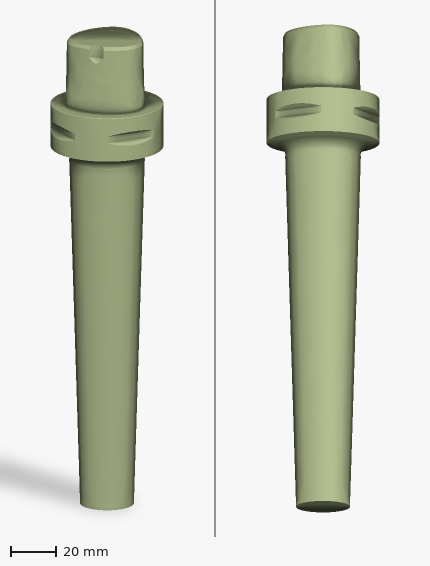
import cadquery as cq
import math

total_length = 215.0
shank_height = 30.0
flange_height = 20.0
underside_height = 1.3
neck_height = 5.0
tip_height = 3.2

flange_radius = 50.0 / 2
flange_edge_chamfer = 0.2
underside_radius = 19.8
body_top_radius = 16.8
tip_radius = 24.0 / 2

shank_mean_radius = 17.6
lobe_height = 1.0
shank_taper = 1 / 40
bevel_height = 1.5
bevel_inset = 0.9

notch_radius = 3.9
notch_axis_y = -17.6
notch_depth = 5.4

groove_count = 4
groove_start_angle = 45
groove_floor_distance = 22.1
groove_floor_height = 3.0
groove_flank_angle = 30

flange_top = total_length - shank_height
flange_bottom = flange_top - flange_height
neck_top = flange_bottom - underside_height
neck_bottom = neck_top - neck_height


def make_turned_body():
    """Flange, concave neck, tapered body and cylindrical tip."""
    neck_width = underside_radius - body_top_radius
    bulge = 1 - math.sqrt(0.5)
    neck_middle = (body_top_radius + bulge * neck_width, neck_top - bulge * neck_height)
    profile = (
        cq.Workplane("XZ")
        .lineTo(tip_radius, 0)
        .lineTo(tip_radius, tip_height)
        .lineTo(body_top_radius, neck_bottom)
        .threePointArc(neck_middle, (underside_radius, neck_top))
        .lineTo(flange_radius, flange_bottom)
        .lineTo(flange_radius, flange_top - flange_edge_chamfer)
        .lineTo(flange_radius - flange_edge_chamfer, flange_top)
        .lineTo(0, flange_top)
        .close()
    )
    return profile.revolve(360, (0, 0, 0), (0, 1, 0))


def lobed_wire(mean_radius, z):
    """Constant-width three-lobed outline with one lobe pointing to +Y."""

    def outline_point(t):
        angle = 2 * math.pi * t + math.pi / 2
        support = mean_radius + lobe_height * math.cos(6 * math.pi * t)
        slope = -3 * lobe_height * math.sin(6 * math.pi * t)
        x = support * math.cos(angle) - slope * math.sin(angle)
        y = support * math.sin(angle) + slope * math.cos(angle)
        return cq.Vector(x, y, z)

    point_count = 36
    points = [outline_point(i / point_count) for i in range(point_count)]
    return cq.Wire.assembleEdges([cq.Edge.makeSpline(points, periodic=True)])


def make_shank():
    """Tapered lobed shank with a bevelled top edge."""
    bevel_start = total_length - bevel_height
    bevel_radius = shank_mean_radius - shank_taper * (bevel_start - flange_top)
    base = lobed_wire(shank_mean_radius, flange_top)
    shoulder = lobed_wire(bevel_radius, bevel_start)
    top = lobed_wire(bevel_radius - bevel_inset, total_length)
    taper = cq.Solid.makeLoft([base, shoulder], True)
    bevel = cq.Solid.makeLoft([shoulder, top], True)
    return cq.Workplane(taper).union(cq.Workplane(bevel))


def make_notch():
    """Vertical drill hole with a 90 degree point, open to the -Y side."""
    edge_z = total_length - notch_depth
    drill = (
        cq.Workplane("XZ")
        .moveTo(0, edge_z - notch_radius)
        .lineTo(notch_radius, edge_z)
        .lineTo(notch_radius, total_length)
        .lineTo(0, total_length)
        .close()
        .revolve(360, (0, 0, 0), (0, 1, 0))
    )
    return drill.translate((0, notch_axis_y, 0))


def make_groove(angle):
    """Straight groove with sloping flanks, cut across the flange rim."""
    middle_z = flange_top - flange_height / 2
    depth = flange_radius - groove_floor_distance
    half_floor = groove_floor_height / 2
    half_mouth = half_floor + depth * math.tan(math.radians(groove_flank_angle))
    section = (
        cq.Workplane("XZ")
        .moveTo(groove_floor_distance, middle_z - half_floor)
        .lineTo(flange_radius, middle_z - half_mouth)
        .lineTo(flange_radius, middle_z + half_mouth)
        .lineTo(groove_floor_distance, middle_z + half_floor)
        .close()
    )
    return section.extrude(flange_radius, both=True).rotate((0, 0, 0), (0, 0, 1), angle)


result = make_turned_body().union(make_shank()).cut(make_notch())
for i in range(groove_count):
    result = result.cut(make_groove(groove_start_angle + i * 360 / groove_count))